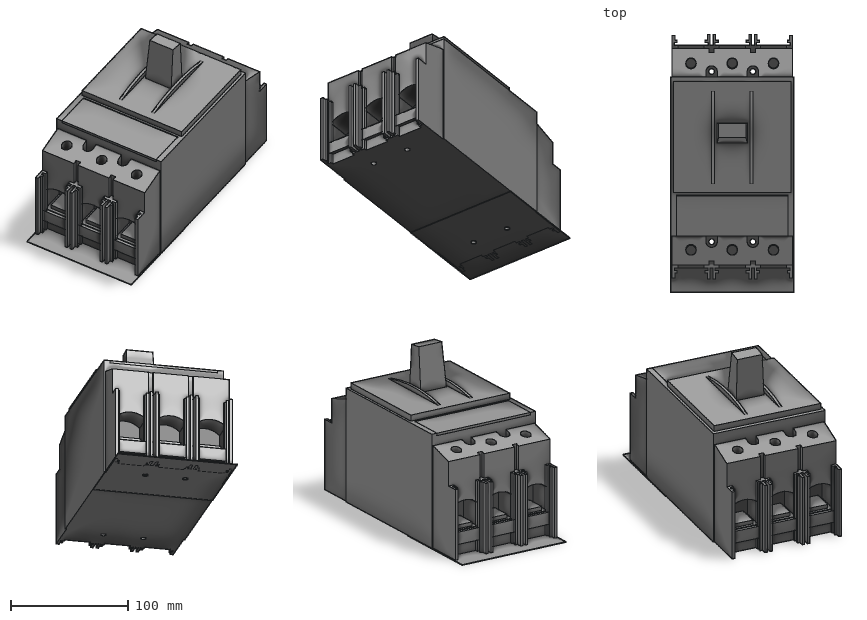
import cadquery as cq
import math


body_width = 105.0
body_length = 135.2
body_top = 104.0
sheet_thickness = 0.7
pole_pitch = 35.1
pole_centres = [-pole_pitch, 0, pole_pitch]
barrier_centres = [-pole_pitch / 2, pole_pitch / 2]

end_width = 102.7
end_reach = 92.2
end_inner_top = 93.5
end_flat_length = 0.7
end_outer_top = 86.7
screw_hole_diameter = 9.0
screw_floor_diameter = 8.5
screw_hole_y = 79.2
screw_floor_y = 79.7
mount_hole_diameter = 4.5
mount_hole_y = 72.5
mount_slot_width = 9.7
pocket_floor = 64.8

barrier_top = 64.5
column_reach = 94.8
column_half_width = 6.4
hook_half_width = 5.7
rail_half_width = 3.5
neck_half_width = 3.0
rail_gap = 2.6
rail_reach = 104.0
side_wall_reach = 103.2
side_wall_thickness = 2.6
side_neck_thickness = 2.2
hook_inner_y = 97.0
hook_outer_y = 99.2
groove_width = 4.2
groove_depth = 3.5

opening_half_width = 13.2
opening_crown = 48.7
opening_crown_radius = 19.0
opening_depth = 22.0
opening_floor = 22.5
lug_width = 18.9
lug_height = 3.5
lug_setback = 2.6
bar_bottom = 10.8
bar_top = 22.0
bar_proud = 0.1

cover_width = 100.0
cover_front = -30.7
cover_back = 63.9
cover_top = 109.5
rib_centre_x = 16.2
rib_width = 2.6
rib_centre_y = 16.2
rib_half_length = 39.0
rib_top = 114.1

panel_width = 94.5
panel_back = -33.4
panel_gap = 0.7
panel_thickness = 2.2

handle_height = 149.3
handle_base_half_width = 13.0
handle_top_half_width = 11.6
handle_base_back = 28.8
handle_top_back = 28.0
handle_base_front = 11.5
handle_top_front = 16.5
handle_top_drop = 1.3

sheet_back = -29.2
sheet_front = -115.5

case_bottom = sheet_thickness
body_front = -body_length / 2


def box(x_range, y_range, z_range):
    """Box between pairs of limits along each axis."""
    (x0, x1), (y0, y1), (z0, z1) = x_range, y_range, z_range
    return cq.Workplane("XY").box(x1 - x0, y1 - y0, z1 - z0, centered=False).translate((x0, y0, z0))


def centred_box(x, width, y_range, z_range):
    """Box of a given width centred on x."""
    return box((x - width / 2, x + width / 2), y_range, z_range)


def upright(points, bottom, top):
    """Vertical prism over an XY outline."""
    return cq.Workplane("XY").workplane(offset=bottom).polyline(points).close().extrude(top - bottom)



def end_block():
    """Block reaching from the middle of the breaker, its top sloping down outside the body."""
    profile = [
        (0, case_bottom),
        (end_reach, case_bottom),
        (end_reach, end_outer_top),
        (body_length / 2 + end_flat_length, end_inner_top),
        (0, end_inner_top),
    ]
    return cq.Workplane("YZ").polyline(profile).close().extrude(end_width / 2, both=True)


def barrier(x):
    """Column between two poles, carrying two hooked rails with a gap between them."""
    half_outline = [
        (column_half_width, end_reach - groove_depth),
        (column_half_width, column_reach),
        (neck_half_width, column_reach),
        (neck_half_width, hook_inner_y),
        (hook_half_width, hook_inner_y),
        (hook_half_width, hook_outer_y),
        (rail_half_width, hook_outer_y),
        (rail_half_width, rail_reach),
        (rail_gap / 2, rail_reach),
        (rail_gap / 2, column_reach),
    ]
    other_half = [(-px, py) for px, py in reversed(half_outline)]
    outline = [(x + px, py) for px, py in half_outline + other_half]
    return upright(outline, case_bottom, barrier_top)


def side_wall(side):
    """Outer wall with a hook on its inner face; side is -1 or 1."""
    outer = end_width / 2
    hook_tip = pole_pitch * 1.5 - hook_half_width
    column_edge = pole_pitch * 1.5 - column_half_width
    outline = [
        (outer, end_reach),
        (outer, side_wall_reach),
        (outer - side_wall_thickness, side_wall_reach),
        (outer - side_wall_thickness, hook_outer_y),
        (hook_tip, hook_outer_y),
        (hook_tip, hook_inner_y),
        (outer - side_neck_thickness, hook_inner_y),
        (outer - side_neck_thickness, column_reach),
        (column_edge, column_reach),
        (column_edge, end_reach),
    ]
    return upright([(side * px, py) for px, py in outline], case_bottom, barrier_top)


def terminal_opening(x):
    """Opening under an arched crown, cut into the outer face of the end."""
    rise = opening_crown_radius - math.sqrt(opening_crown_radius**2 - opening_half_width**2)
    spring = opening_crown - rise
    return (
        cq.Workplane("XZ", origin=(x, end_reach, 0))
        .moveTo(-opening_half_width, opening_floor)
        .lineTo(-opening_half_width, spring)
        .threePointArc((0, opening_crown), (opening_half_width, spring))
        .lineTo(opening_half_width, opening_floor)
        .close()
        .extrude(opening_depth)
    )


def terminal_lug(x):
    """Raised lug on the floor of a terminal opening."""
    return centred_box(
        x,
        lug_width,
        (end_reach - opening_depth, end_reach - lug_setback),
        (opening_floor, opening_floor + lug_height),
    )


def terminal_bar():
    """Bar across all the poles, standing just proud of the columns."""
    return centred_box(
        0,
        end_width - 2 * side_neck_thickness,
        (end_reach, column_reach + bar_proud),
        (bar_bottom, bar_top),
    )


def mount_pocket(x):
    """Round-ended slot down to a flat floor around a mounting hole."""
    slot = centred_box(x, mount_slot_width, (body_length / 2, mount_hole_y), (pocket_floor, body_top))
    rounded_end = (
        cq.Workplane("XY", origin=(x, mount_hole_y, pocket_floor))
        .circle(mount_slot_width / 2)
        .extrude(body_top - pocket_floor)
    )
    outside_body = centred_box(0, body_width, (body_length / 2, end_reach), (pocket_floor, body_top))
    return slot.union(rounded_end.intersect(outside_body))


def mount_hole(x):
    """Mounting hole through the end and the sheet under it."""
    return cq.Workplane("XY", origin=(x, mount_hole_y, 0)).circle(mount_hole_diameter / 2).extrude(body_top)


def screw_hole(x):
    """Blind hole above a terminal, narrowing slightly towards a floor set a little outward."""
    return (
        cq.Workplane("XY", origin=(x, screw_floor_y, pocket_floor))
        .circle(screw_floor_diameter / 2)
        .workplane(offset=end_inner_top - pocket_floor)
        .center(0, screw_hole_y - screw_floor_y)
        .circle(screw_hole_diameter / 2)
        .loft()
    )


def terminal_end():
    end = end_block()
    for x in barrier_centres:
        end = end.cut(centred_box(x, groove_width, (end_reach - groove_depth, end_reach), (barrier_top, body_top)))
        end = end.union(barrier(x))
        end = end.cut(mount_pocket(x)).cut(mount_hole(x))
    for side in (-1, 1):
        end = end.union(side_wall(side))
    for x in pole_centres:
        end = end.cut(screw_hole(x)).cut(terminal_opening(x)).union(terminal_lug(x))
    return end.union(terminal_bar())



def cover_rib(x):
    """Rib whose top is one long shallow arc rising from the cover."""
    return (
        cq.Workplane("YZ", origin=(x, 0, 0))
        .moveTo(rib_centre_y - rib_half_length, cover_top)
        .threePointArc((rib_centre_y, rib_top), (rib_centre_y + rib_half_length, cover_top))
        .close()
        .extrude(rib_width / 2, both=True)
    )


def panel_recess():
    return centred_box(
        0,
        panel_width,
        (body_front, panel_back + panel_gap),
        (body_top - panel_thickness, body_top),
    )


def make_housing():
    body = centred_box(0, body_width, (body_front, -body_front), (case_bottom, body_top))
    cover = centred_box(0, cover_width, (cover_front, cover_back), (body_top, cover_top))
    end = terminal_end()
    housing = body.union(end).union(end.mirror("XZ")).union(cover)
    for x in (-rib_centre_x, rib_centre_x):
        housing = housing.union(cover_rib(x))
    return housing.cut(panel_recess())



def make_trip_panel():
    """Plate flush with the top and front of the housing, with a gap behind it."""
    return centred_box(0, panel_width, (body_front, panel_back), (body_top - panel_thickness, body_top))


def make_handle():
    """Handle tapering in width and leaning at the front, with a slightly sloping top."""
    side_profile = [
        (handle_base_front, cover_top),
        (handle_top_front, handle_height),
        (handle_top_back, handle_height - handle_top_drop),
        (handle_base_back, cover_top),
    ]
    front_profile = [
        (-handle_base_half_width, cover_top),
        (-handle_top_half_width, handle_height),
        (handle_top_half_width, handle_height),
        (handle_base_half_width, cover_top),
    ]
    side = cq.Workplane("YZ").polyline(side_profile).close().extrude(body_width / 2, both=True)
    front = cq.Workplane("XZ").polyline(front_profile).close().extrude(body_length / 2, both=True)
    return side.intersect(front)


def make_sheet():
    """Thin insulating sheet under the -Y half, pierced by the mounting holes."""
    sheet = centred_box(0, body_width, (sheet_front, sheet_back), (0, sheet_thickness))
    for x in barrier_centres:
        sheet = sheet.cut(mount_hole(x).mirror("XZ"))
    return sheet


housing = make_housing()
trip_panel = make_trip_panel()
handle = make_handle()
sheet = make_sheet()

result = cq.Compound.makeCompound([housing.val(), trip_panel.val(), handle.val(), sheet.val()])